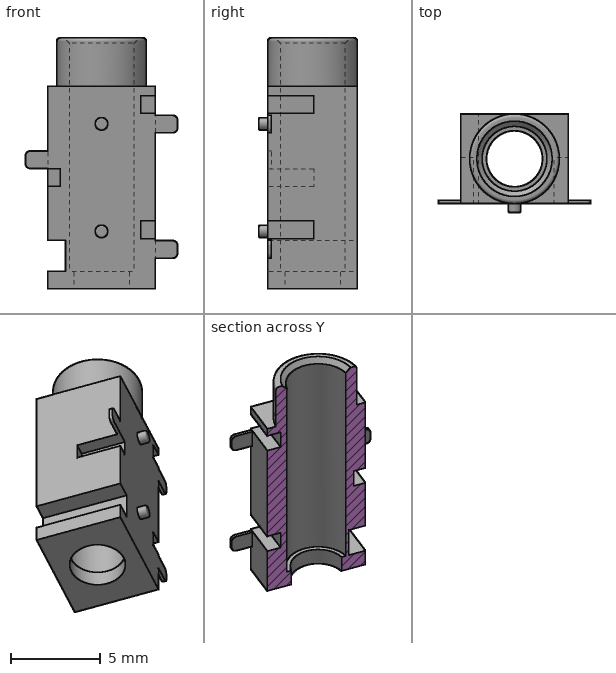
import cadquery as cq

BODY_WIDTH = 6.0
BODY_DEPTH = 5.0
BODY_HEIGHT = 11.3
TOTAL_HEIGHT = 14

COLLAR_RADIUS = BODY_DEPTH / 2
COLLAR_ROUND = 0.2
BORE_RADIUS = 1.8
BORE_CHAMFER = 0.3
FLOOR_THICKNESS = 1.0
FLOOR_HOLE_RADIUS = 1.55

SLOT_BOTTOM = 1.0
SLOT_TOP = 2.7
SLOT_DEPTH = 1.0

TAB_HEIGHT = 1.0
TAB_LENGTH = 1.25
TAB_THICKNESS = 0.2
TAB_ROUND = 0.3
RIGHT_TAB_BOTTOMS = (1.71, 8.7)
LEFT_TAB_BOTTOM = 6.7

POCKET_HEIGHT = 1.0
POCKET_DEPTH = 2.58
RIGHT_POCKET_WIDTH = 0.81
LEFT_POCKET_WIDTH = 0.71
RIGHT_POCKET_GAP = 0.1

PIN_RADIUS = 0.35
PIN_LENGTH = 0.5
PIN_ROUND = 0.1
PIN_HEIGHTS = (3.2, 9.2)

HALF_WIDTH = BODY_WIDTH / 2
FRONT = -BODY_DEPTH / 2
BACK = BODY_DEPTH / 2


def block(x_min, x_max, y_min, y_max, z_min, z_max):
    """Box given by its limits along each axis."""
    return (
        cq.Workplane("XY")
        .box(x_max - x_min, y_max - y_min, z_max - z_min, centered=False)
        .translate((x_min, y_min, z_min))
    )


def body_with_collar():
    """Rectangular body with the round-edged collar on top."""
    body = block(-HALF_WIDTH, HALF_WIDTH, FRONT, BACK, 0, BODY_HEIGHT)
    collar = (
        cq.Workplane("XY", origin=(0, 0, BODY_HEIGHT))
        .circle(COLLAR_RADIUS)
        .extrude(TOTAL_HEIGHT - BODY_HEIGHT)
        .faces(">Z")
        .edges()
        .fillet(COLLAR_ROUND)
    )
    return body.union(collar)


def bore():
    """Plug opening: chamfered mouth, wide bore, then a narrower hole through the floor."""
    return (
        cq.Workplane("XZ")
        .moveTo(0, 0)
        .lineTo(FLOOR_HOLE_RADIUS, 0)
        .lineTo(FLOOR_HOLE_RADIUS, FLOOR_THICKNESS)
        .lineTo(BORE_RADIUS, FLOOR_THICKNESS)
        .lineTo(BORE_RADIUS, TOTAL_HEIGHT - BORE_CHAMFER)
        .lineTo(BORE_RADIUS + BORE_CHAMFER, TOTAL_HEIGHT)
        .lineTo(0, TOTAL_HEIGHT)
        .close()
        .revolve(360, (0, 0, 0), (0, 1, 0))
    )


def tab(side, bottom):
    """Flat tab with rounded tip; side is +1 for the right, -1 for the left."""
    inner, outer = sorted((side * HALF_WIDTH, side * (HALF_WIDTH + TAB_LENGTH)))
    tip = ">X" if side > 0 else "<X"
    plate = block(inner, outer, FRONT, FRONT + TAB_THICKNESS, bottom, bottom + TAB_HEIGHT)
    return plate.faces(tip).edges("|Y").fillet(TAB_ROUND)


def pocket(side, width, bottom):
    """Recess in a side wall, open to the front."""
    inner, outer = sorted((side * (HALF_WIDTH - width), side * HALF_WIDTH))
    return block(inner, outer, FRONT, FRONT + POCKET_DEPTH, bottom, bottom + POCKET_HEIGHT)


def pin(height):
    """Locating pin with a rounded tip."""
    return (
        cq.Workplane("XZ", origin=(0, FRONT, height))
        .circle(PIN_RADIUS)
        .extrude(PIN_LENGTH)
        .faces("<Y")
        .edges()
        .fillet(PIN_ROUND)
    )


slot = block(-HALF_WIDTH, SLOT_DEPTH - HALF_WIDTH, FRONT, BACK, SLOT_BOTTOM, SLOT_TOP)

result = body_with_collar().cut(bore()).cut(slot)

result = result.cut(pocket(-1, LEFT_POCKET_WIDTH, LEFT_TAB_BOTTOM - POCKET_HEIGHT))
result = result.union(tab(-1, LEFT_TAB_BOTTOM))

for tab_bottom in RIGHT_TAB_BOTTOMS:
    pocket_bottom = tab_bottom + TAB_HEIGHT + RIGHT_POCKET_GAP
    result = result.cut(pocket(1, RIGHT_POCKET_WIDTH, pocket_bottom))
    result = result.union(tab(1, tab_bottom))

for pin_height in PIN_HEIGHTS:
    result = result.union(pin(pin_height))